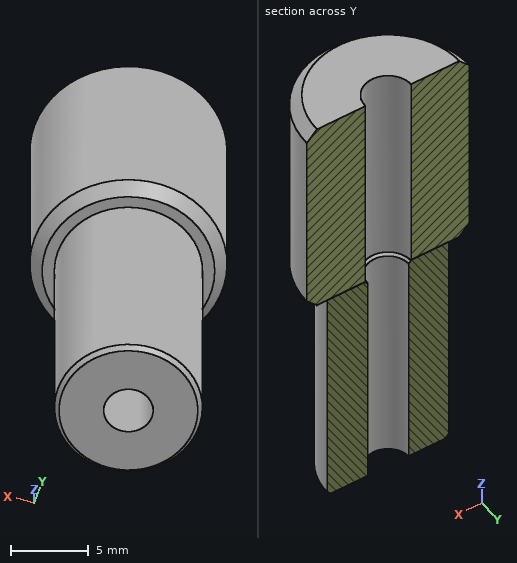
import cadquery as cq

total_length = 33.45

head_diameter = 12.7
head_length = 15.9
head_chamfer = 0.8
head_bore_diameter = 3.55

stem_diameter = 9.53
stem_length = total_length - head_length
stem_chamfer = 0.3
stem_bore_diameter = 3.18
stem_mouth_diameter = head_bore_diameter
stem_mouth_chamfer = (stem_mouth_diameter - stem_bore_diameter) / 2


def make_head():
    """Sleeve with both outer rims chamfered and a plain through bore."""
    blank = cq.Workplane("XY").workplane(offset=stem_length).circle(head_diameter / 2).extrude(head_length)
    chamfered = blank.edges("%CIRCLE").chamfer(head_chamfer)
    return chamfered.faces(">Z").workplane().hole(head_bore_diameter)


def make_stem():
    """Tube with a chamfered lower rim and a chamfered mouth at the top of its bore."""
    blank = cq.Workplane("XY").circle(stem_diameter / 2).extrude(stem_length)
    chamfered = blank.faces("<Z").edges().chamfer(stem_chamfer)
    bored = chamfered.faces(">Z").workplane().hole(stem_bore_diameter)
    bore_rim = cq.selectors.RadiusNthSelector(0)
    return bored.faces(">Z").edges(bore_rim).chamfer(stem_mouth_chamfer)


head = make_head()
stem = make_stem()

result = cq.Compound.makeCompound([head.val(), stem.val()])